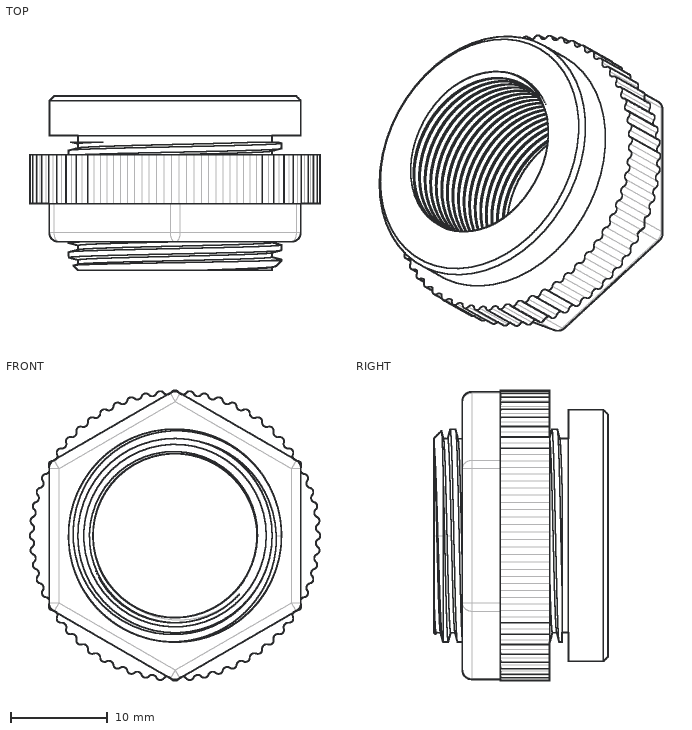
import cadquery as cq
import math


total_length = 18.0
collar_start = 13.9
collar_radius = 13.0
collar_chamfer = 0.5

outer_pitch = 1.5
outer_major_radius = 11.0
outer_minor_radius = 10.03
outer_crest_width = 0.55
outer_base_width = 1.05
outer_crest_offset = 2.34
outer_end_chamfer = outer_major_radius - outer_minor_radius
relief_start = 13.24
thread_overlap = 0.1

inner_pitch = 1.0
inner_major_radius = 9.0
inner_minor_radius = inner_major_radius - 0.5413 * inner_pitch
inner_root_width = inner_pitch / 8
inner_mouth_width = 0.75 * inner_pitch
inner_groove_offset = 0.24
bore_mouth_radius = 9.42
bore_overrun = 3.0

nut_start = 2.93
flange_start = 6.88
flange_end = 11.95
hex_across_flats = 26.0
hex_fillet = 1.0
knurl_count = 60
knurl_tip_radius = 15.0
knurl_root_radius = 14.57


def helical_ridge(pitch, turns, start, base_radius, base_width, tip_radius, tip_width):
    """Right-hand trapezoidal ridge whose mid-line starts on +X at height start."""
    base_half = base_width / 2
    tip_half = tip_width / 2
    profile = (
        cq.Workplane("XZ")
        .moveTo(base_radius, start - base_half)
        .lineTo(tip_radius, start - tip_half)
        .lineTo(tip_radius, start + tip_half)
        .lineTo(base_radius, start + base_half)
        .close()
    )
    path = cq.Wire.makeHelix(pitch, pitch * turns, base_radius, cq.Vector(0, 0, start))
    return profile.sweep(cq.Workplane(obj=path), isFrenet=True)


def sunk_base_width(base_width, tip_width, depth):
    """Width of a thread profile once its flanks run thread_overlap past its base."""
    return base_width + (base_width - tip_width) * thread_overlap / depth


def make_outer_thread():
    turns_below = math.ceil(outer_crest_offset / outer_pitch) + 1
    start = outer_crest_offset - turns_below * outer_pitch
    turns = math.ceil((relief_start - start) / outer_pitch) + 1
    depth = outer_major_radius - outer_minor_radius
    ridge = helical_ridge(
        outer_pitch,
        turns,
        start,
        outer_minor_radius - thread_overlap,
        sunk_base_width(outer_base_width, outer_crest_width, depth),
        outer_major_radius,
        outer_crest_width,
    )
    envelope = (
        cq.Workplane("XY")
        .circle(outer_major_radius + thread_overlap)
        .extrude(relief_start)
        .faces("<Z")
        .chamfer(outer_end_chamfer + thread_overlap)
    )
    return ridge.intersect(envelope)


def make_sleeve():
    body = cq.Workplane("XY").circle(outer_minor_radius).extrude(total_length)
    collar = (
        cq.Workplane("XY", origin=(0, 0, collar_start))
        .circle(collar_radius)
        .extrude(total_length - collar_start)
        .faces(">Z")
        .chamfer(collar_chamfer)
    )
    return body.union(collar).union(make_outer_thread())


def make_hexagon():
    corner_diameter = hex_across_flats / math.cos(math.pi / 6)
    return (
        cq.Workplane("XY", origin=(0, 0, nut_start))
        .transformed(rotate=(0, 0, 90))
        .polygon(6, corner_diameter)
        .extrude(flange_start - nut_start)
        .edges("|Z or <Z")
        .fillet(hex_fillet)
    )


def make_flange():
    """Knurled disc: rounded tips and rounded valleys alternate around the rim."""
    half_step = math.pi / knurl_count
    middle_radius = (knurl_tip_radius + knurl_root_radius) / 2

    def rim_point(radius, half_steps):
        angle = half_steps * half_step
        return (radius * math.cos(angle), radius * math.sin(angle))

    outline = cq.Workplane("XY", origin=(0, 0, flange_start)).moveTo(*rim_point(middle_radius, -0.5))
    for tooth in range(knurl_count):
        tip = 2 * tooth
        valley = tip + 1
        outline = outline.threePointArc(
            rim_point(knurl_tip_radius, tip), rim_point(middle_radius, tip + 0.5)
        )
        outline = outline.threePointArc(
            rim_point(knurl_root_radius, valley), rim_point(middle_radius, valley + 0.5)
        )
    return outline.close().extrude(flange_end - flange_start)


def make_bore():
    """Cutter for the threaded hole with its 45 degree lead-in; it overruns both ends of the sleeve."""
    hole = (
        cq.Workplane("XY", origin=(0, 0, -bore_overrun))
        .circle(inner_minor_radius)
        .extrude(total_length + 2 * bore_overrun)
    )
    turns_below = math.ceil(inner_groove_offset / inner_pitch) + 1
    start = inner_groove_offset - turns_below * inner_pitch
    turns = math.ceil((total_length - start) / inner_pitch) + 1
    groove = helical_ridge(
        inner_pitch,
        turns,
        start,
        inner_minor_radius - thread_overlap,
        sunk_base_width(inner_mouth_width, inner_root_width, inner_major_radius - inner_minor_radius),
        inner_major_radius,
        inner_root_width,
    )
    lead_in_depth = bore_mouth_radius - inner_minor_radius
    lead_in = (
        cq.Workplane("XZ")
        .lineTo(bore_mouth_radius, 0)
        .lineTo(inner_minor_radius, lead_in_depth)
        .lineTo(0, lead_in_depth)
        .close()
        .revolve(360, (0, 0, 0), (0, 1, 0))
    )
    return hole.union(groove).union(lead_in)


nut = make_hexagon().union(make_flange())
fitting = make_sleeve().union(nut).cut(make_bore())

result = fitting.rotate((0, 0, 0), (1, 0, 0), -90)